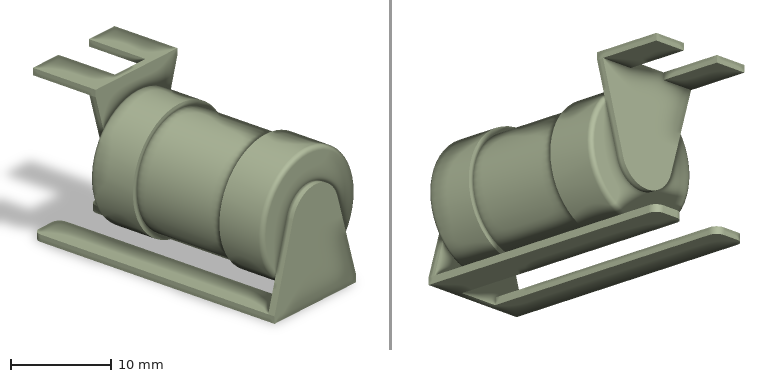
import cadquery as cq
import math

overall_length = 31.35
overall_height = 18.9

cap_diameter = 14.6
cap_length = 5.58
cap_edge_radius = 0.5
tube_diameter = 13.4
fuse_length = 22.38
stub_diameter = 2.4

sheet = 0.8
terminal_width = 12.8
slot_width = 4.8
lug_end_radius = 3.65
leg_corner_radius = 1.0

fork_tip_x = fuse_length + sheet - overall_length
foot_outer_z = overall_height / 2
foot_inner_z = foot_outer_z - sheet


def disc(diameter, start_x, length):
    """Cylinder along the X axis."""
    return cq.Workplane("YZ", origin=(start_x, 0, 0)).circle(diameter / 2).extrude(length)


def make_fuse():
    """Tube and end caps, with stubs that fill the holes in both lugs."""
    left_cap = disc(cap_diameter, 0, cap_length).faces("<X").edges().fillet(cap_edge_radius)
    right_cap = disc(cap_diameter, fuse_length - cap_length, cap_length)
    right_cap = right_cap.faces(">X").edges().fillet(cap_edge_radius)
    tube = disc(tube_diameter, cap_length, fuse_length - 2 * cap_length)
    stubs = disc(stub_diameter, -sheet, fuse_length + 2 * sheet)
    return tube.union(left_cap).union(right_cap).union(stubs)


def make_lug(start_x, side):
    """Tapered plate with a round end about the fuse axis; side is +1 for up, -1 for down."""
    half_width = terminal_width / 2
    corner_distance = math.hypot(half_width, foot_inner_z)
    corner_angle = math.atan2(foot_inner_z, half_width)
    tangent_angle = corner_angle - math.acos(lug_end_radius / corner_distance)
    tangent_y = lug_end_radius * math.cos(tangent_angle)
    tangent_z = side * lug_end_radius * math.sin(tangent_angle)
    plate = (
        cq.Workplane("YZ", origin=(start_x, 0, 0))
        .moveTo(-half_width, side * foot_inner_z)
        .lineTo(half_width, side * foot_inner_z)
        .lineTo(tangent_y, tangent_z)
        .threePointArc((0, -side * lug_end_radius), (-tangent_y, tangent_z))
        .close()
        .extrude(sheet)
    )
    return plate.cut(disc(stub_diameter, start_x, sheet))


def make_forked_foot(lug_x, bottom_z, corner_radius):
    """Flat plate from the lug to the fork tips, slotted up to the lug."""
    foot_length = lug_x + sheet - fork_tip_x
    slot_length = lug_x - fork_tip_x
    foot = cq.Workplane("XY", origin=(fork_tip_x, 0, bottom_z))
    plate = foot.rect(foot_length, terminal_width).extrude(sheet).translate((foot_length / 2, 0, 0))
    slot = foot.rect(slot_length, slot_width).extrude(sheet).translate((slot_length / 2, 0, 0))
    fork = plate.cut(slot)
    if corner_radius > 0:
        fork = fork.faces("<X").edges("|Z").fillet(corner_radius)
    return fork


def make_upper_terminal():
    """Short, square-tipped terminal on the left end of the fuse."""
    lug_x = -sheet
    return make_lug(lug_x, 1).union(make_forked_foot(lug_x, foot_inner_z, 0))


def make_lower_terminal():
    """Long, round-cornered terminal on the right end, running back under the fuse."""
    lug_x = fuse_length
    foot = make_forked_foot(lug_x, -foot_outer_z, leg_corner_radius)
    return make_lug(lug_x, -1).union(foot)


fuse = make_fuse()
upper_terminal = make_upper_terminal()
lower_terminal = make_lower_terminal()

result = cq.Compound.makeCompound([fuse.val(), upper_terminal.val(), lower_terminal.val()])